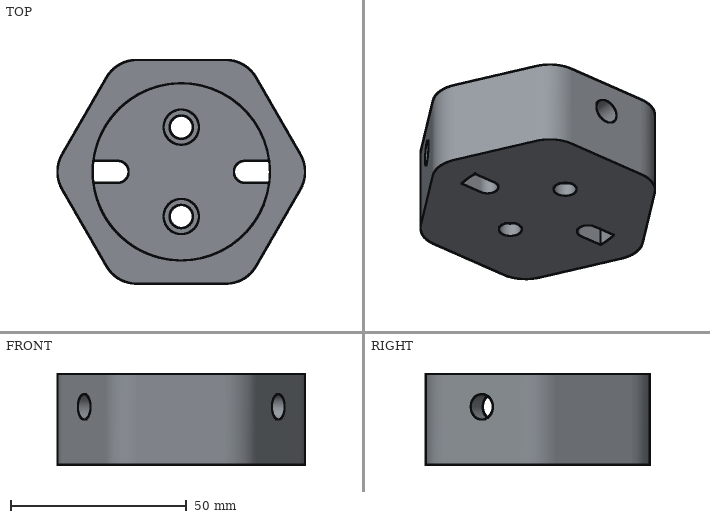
import cadquery as cq
import math

side_count = 6
across_flats = 63.73
height = 25.9
corner_radius = 10.0

pocket_diameter = 50.4
floor_thickness = 6.8

screw_spacing = 25.4
screw_diameter = 6.55
counterbore_diameter = 10.03
counterbore_depth = 2.6

slot_width = 6.2
slot_inner_end = 15.0

side_hole_diameter = 7.23
side_hole_height = 16.5
side_hole_angles = (90, 210, 330)

apothem = across_flats / 2
pocket_radius = pocket_diameter / 2


def make_body():
    corner_distance = across_flats / math.cos(math.pi / side_count)
    return (
        cq.Workplane("XY")
        .polygon(side_count, corner_distance)
        .extrude(height)
        .edges("|Z")
        .fillet(corner_radius)
    )


def make_pocket():
    return (
        cq.Workplane("XY", origin=(0, 0, floor_thickness))
        .circle(pocket_radius)
        .extrude(height - floor_thickness)
    )


def make_screw_holes():
    centers = [(0, -screw_spacing / 2), (0, screw_spacing / 2)]
    shanks = (
        cq.Workplane("XY")
        .pushPoints(centers)
        .circle(screw_diameter / 2)
        .extrude(floor_thickness)
    )
    counterbores = (
        cq.Workplane("XY", origin=(0, 0, floor_thickness - counterbore_depth))
        .pushPoints(centers)
        .circle(counterbore_diameter / 2)
        .extrude(counterbore_depth)
    )
    return shanks.union(counterbores)


def make_floor_slots():
    slot_length = 2 * (pocket_radius - slot_inner_end)
    slots = (
        cq.Workplane("XY")
        .pushPoints([(-pocket_radius, 0), (pocket_radius, 0)])
        .slot2D(slot_length, slot_width)
        .extrude(floor_thickness)
    )
    pocket_outline = cq.Workplane("XY").circle(pocket_radius).extrude(floor_thickness)
    return slots.intersect(pocket_outline)


def make_side_hole(angle):
    return (
        cq.Workplane("YZ", origin=(0, 0, side_hole_height))
        .circle(side_hole_diameter / 2)
        .extrude(apothem)
        .rotate((0, 0, 0), (0, 0, 1), angle)
    )


result = make_body().cut(make_pocket()).cut(make_screw_holes()).cut(make_floor_slots())
for hole_angle in side_hole_angles:
    result = result.cut(make_side_hole(hole_angle))